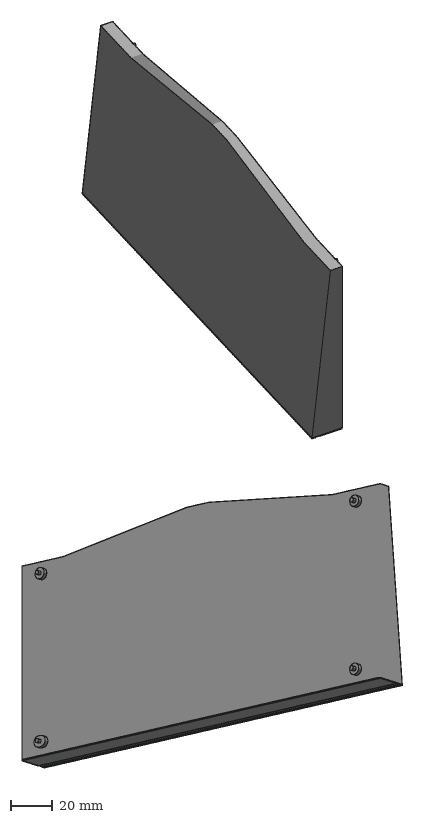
import cadquery as cq

LENGTH = 229.0
HEIGHT = 109.3
BASE_DEPTH = 17.5
TOP_DEPTH = 6.0

SHOULDER_HEIGHT = 98.7
LEFT_SHOULDER_END = 30.5
PEAK_START = 109.5
PEAK_END = 123.7
RIGHT_SHOULDER_START = 202.7

BACK_EDGE_RADIUS = 0.7

PLATE_THICKNESS = 0.5
PLATE_OVERHANG = 0.11
GROOVE_WIDTH = 2.5
GROOVE_DEPTH = 0.2
GROOVE_TO_FRONT = 1.8

BOSS_DIAMETER = 5.7
BOSS_LENGTH = 2.0
LEFT_PIN_DIAMETER = 2.3
RIGHT_PIN_DIAMETER = 2.0
STUD_LENGTH = 4.1
LEFT_STUD_X = 14.5
RIGHT_STUD_X = 215.5
LOWER_STUD_Z = 6.9
UPPER_STUD_Z = 92.0

LONG_BOSS_WIDTH = 7.0


def make_wedge():
    """Full-length block with a vertical back and a leaning front."""
    side = [(0, 0), (-BASE_DEPTH, 0), (-TOP_DEPTH, HEIGHT), (0, HEIGHT)]
    return cq.Workplane("YZ").polyline(side).close().extrude(LENGTH)


def make_crested_block():
    """Crested outline swept through the whole depth, its back rim rounded except at the bottom."""
    left = PLATE_OVERHANG
    right = LENGTH - PLATE_OVERHANG
    outline = [
        (left, PLATE_THICKNESS),
        (left, SHOULDER_HEIGHT),
        (LEFT_SHOULDER_END, SHOULDER_HEIGHT),
        (PEAK_START, HEIGHT),
        (PEAK_END, HEIGHT),
        (RIGHT_SHOULDER_START, SHOULDER_HEIGHT),
        (right, SHOULDER_HEIGHT),
        (right, PLATE_THICKNESS),
    ]
    block = cq.Workplane("XZ").polyline(outline).close().extrude(BASE_DEPTH)
    rim = block.faces(">Y").edges("not <Z")
    return rim.fillet(BACK_EDGE_RADIUS)


def make_stud(x, z, pin_diameter, boss_width):
    """Boss with a thinner pin on its end; a boss wider than its diameter is a slot shape."""
    foot = cq.Workplane("XZ", origin=(x, 0, z))
    if boss_width > BOSS_DIAMETER:
        boss_outline = foot.slot2D(boss_width, BOSS_DIAMETER)
    else:
        boss_outline = foot.circle(BOSS_DIAMETER / 2)
    boss = boss_outline.extrude(-BOSS_LENGTH)
    pin = foot.circle(pin_diameter / 2).extrude(-STUD_LENGTH)
    return boss.union(pin)


def make_housing():
    """Crested wedge with a stud near each corner of its back face."""
    housing = make_wedge().intersect(make_crested_block())
    studs = [
        make_stud(LEFT_STUD_X, LOWER_STUD_Z, LEFT_PIN_DIAMETER, BOSS_DIAMETER),
        make_stud(LEFT_STUD_X, UPPER_STUD_Z, LEFT_PIN_DIAMETER, BOSS_DIAMETER),
        make_stud(RIGHT_STUD_X, LOWER_STUD_Z, RIGHT_PIN_DIAMETER, LONG_BOSS_WIDTH),
        make_stud(RIGHT_STUD_X, UPPER_STUD_Z, RIGHT_PIN_DIAMETER, BOSS_DIAMETER),
    ]
    for stud in studs:
        housing = housing.union(stud)
    return housing


def make_base_plate():
    """Flat plate under the housing, grooved along its underside near the front."""
    plate_depth = BASE_DEPTH - BACK_EDGE_RADIUS
    plate = cq.Workplane("XY").box(LENGTH, plate_depth, PLATE_THICKNESS, centered=False)
    plate = plate.translate((0, -BASE_DEPTH, 0))
    groove = cq.Workplane("XY").box(LENGTH, GROOVE_WIDTH, GROOVE_DEPTH, centered=False)
    return plate.cut(groove.translate((0, GROOVE_TO_FRONT - BASE_DEPTH, 0)))


housing = make_housing()
base_plate = make_base_plate()

result = cq.Compound.makeCompound([housing.val(), base_plate.val()])